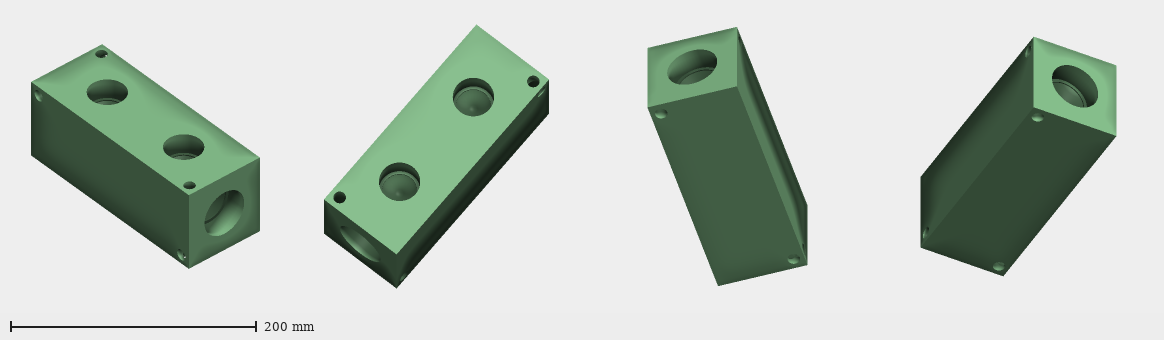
import cadquery as cq
import math

LENGTH = 196.8
SIDE = 76.2

MOUNT_DIAMETER = 10.2
MOUNT_END_INSET = 9.5
MOUNT_SIDE_INSET = 8.9

OUTLET_BORE_DIAMETER = 33.7
OUTLET_DRILL_DIAMETER = 28.5
OUTLET_BORE_DEPTH = 19.0
OUTLET_SPACING = 95.3
INLET_BORE_DIAMETER = 42.5
INLET_DRILL_DIAMETER = 36.8
INLET_BORE_DEPTH = 19.5
DRILL_STEP_DEPTH = 1.0
DRILL_POINT_ANGLE = 118.0


def port_cutter(face_center, inward, bore_diameter, drill_diameter, bore_depth):
    """Revolved port: a wide bore, a short narrower drill and its conical point."""
    bore_radius = bore_diameter / 2
    drill_radius = drill_diameter / 2
    drill_depth = bore_depth + DRILL_STEP_DEPTH
    point_depth = drill_depth + drill_radius / math.tan(math.radians(DRILL_POINT_ANGLE / 2))
    port_plane = cq.Plane(origin=face_center, xDir=(0, 1, 0), normal=inward)
    half_section = (
        cq.Workplane("XZ")
        .moveTo(0, 0)
        .lineTo(bore_radius, 0)
        .lineTo(bore_radius, bore_depth)
        .lineTo(drill_radius, bore_depth)
        .lineTo(drill_radius, drill_depth)
        .lineTo(0, point_depth)
        .close()
    )
    cutter = half_section.revolve(360, (0, 0, 0), (0, 1, 0)).val()
    return cutter.moved(cq.Location(port_plane))


def mounting_holes(plane_name, first_height):
    """Two through holes at opposite corners of the faces parallel to the named plane."""
    end_offset = LENGTH / 2 - MOUNT_END_INSET
    return (
        cq.Workplane(plane_name)
        .pushPoints([(-end_offset, first_height), (end_offset, -first_height)])
        .circle(MOUNT_DIAMETER / 2)
        .extrude(SIDE / 2, both=True)
    )


result = cq.Workplane("XY").box(LENGTH, SIDE, SIDE)

for outlet_x in (-OUTLET_SPACING / 2, OUTLET_SPACING / 2):
    outlet = port_cutter(
        (outlet_x, 0, SIDE / 2), (0, 0, -1),
        OUTLET_BORE_DIAMETER, OUTLET_DRILL_DIAMETER, OUTLET_BORE_DEPTH,
    )
    result = result.cut(cq.Workplane(outlet))

for end in (-1, 1):
    inlet = port_cutter(
        (end * LENGTH / 2, 0, 0), (-end, 0, 0),
        INLET_BORE_DIAMETER, INLET_DRILL_DIAMETER, INLET_BORE_DEPTH,
    )
    result = result.cut(cq.Workplane(inlet))

mount_offset = SIDE / 2 - MOUNT_SIDE_INSET
for plane_name in ("XY", "XZ"):
    result = result.cut(mounting_holes(plane_name, mount_offset))